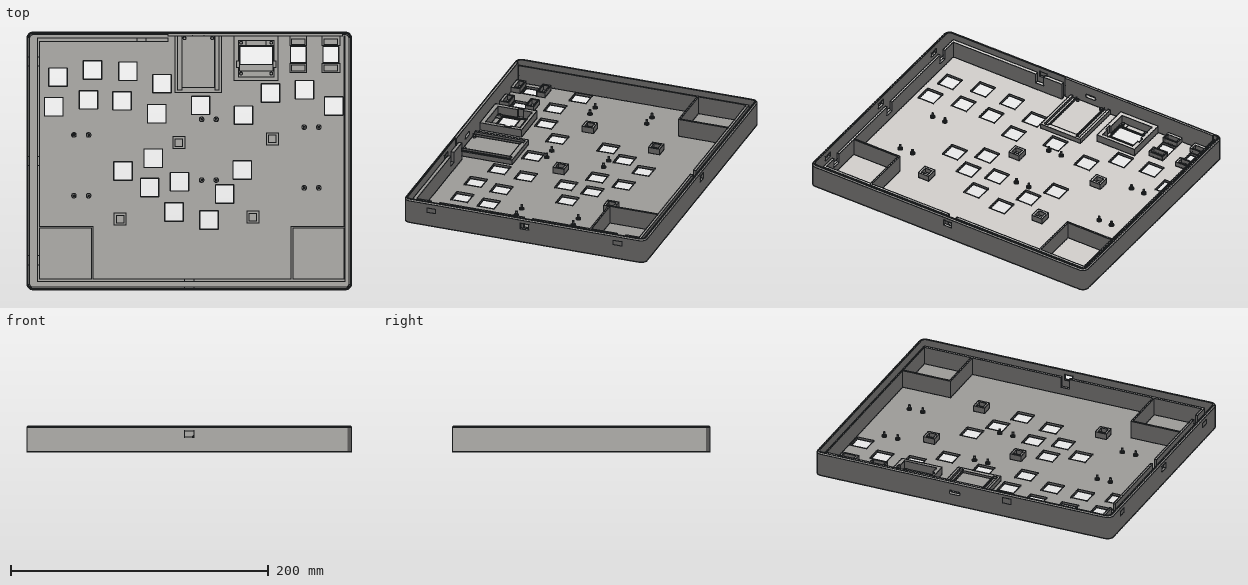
import cadquery as cq
LENGTH = 252.0
WIDTH = 200.0
HEIGHT = 20.0
CORNER_RADIUS = 5.0
FLOOR = 2.0
WALL = 2.0
RIM_CHAMFER = 1.0

STRIP_TOP = 16.6
LEFT_STRIP = (-118.0, -116.2)
RIGHT_STRIP = (120.0, 121.0)
FRONT_STRIP = (-93.7, -91.7)
BACK_STRIP = (92.7, 95.5)
BACK_STRIP_END = -16.6
THICK_WALL = 3.0

SNAP_WIDTH = 7.0
SNAP_BOTTOM = 11.3
SNAP_TOP = 16.1
SNAP_SPACING = 77.0
SNAP_POCKET_TOP = 15.0
SNAP_POCKET_SKIN = 0.5
NOTCH_BOTTOM = 8.0
BACK_NOTCH_X = -37.0

COMPARTMENT_WALL = 1.3
COMPARTMENT_BACK_Y = -51.0
LEFT_COMPARTMENT_X = -74.5
RIGHT_COMPARTMENT_X = 79.1

KEY_SIZE = 14.0
KEY_CENTRES = [
    (-101.8, 65.0), (-75.0, 70.5), (-47.6, 69.5), (-21.2, 60.0),
    (-105.0, 42.0), (-78.0, 47.5), (-52.2, 46.5), (-25.2, 36.5),
    (8.8, 43.0), (42.0, 35.5), (63.0, 52.7), (89.5, 55.2), (112.1, 42.5),
    (-51.5, -7.8), (-28.0, 2.0), (-30.7, -20.7), (-7.5, -16.1), (-11.8, -39.5),
    (15.4, -45.9), (27.5, -25.7), (41.0, -7.0),
]

PIN_BASE_DIAMETER = 3.5
PIN_TIP_DIAMETER = 1.3
PIN_BASE_HEIGHT = 0.8
PIN_TIP_HEIGHT = 3.0
PIN_PAIR_PITCH = 11.3
PIN_ROW_PITCH = 47.0
PIN_PAIRS = [(-89.5, 20.2), (9.5, 32.3), (89.2, 26.2)]

POST_SIZE = 9.3
POST_HOLE = 5.8
POST_HEIGHT = 4.8
POST_HOLE_DEPTH = 3.8
POST_CENTRES = [(-8.0, 14.0), (64.5, 17.1), (-53.7, -45.0), (49.5, -43.5)]

TRAY_X = 7.0
TRAY_WIDTH = 36.3
TRAY_FRONT_Y = 53.2
TRAY_HEIGHT = 4.0
TRAY_FLOOR_HEIGHT = 2.3
TRAY_OUTER_LIP = 2.0
TRAY_TRENCH = 3.3
TRAY_TRENCH_DEPTH = 2.0
TRAY_INNER_WIDTH = 25.2
TRAY_FRONT_LIP = 3.8
TRAY_PIN_DIAMETER = 2.2
TRAY_PIN_HEIGHT = 1.3
TRAY_PIN_PITCH = 21.5
TRAY_PIN_Y = 95.3
PORT_WIDTH = 9.0
PORT_HEIGHT = 3.0
PORT_Z = 10.8
PORT_CORNER = 1.3

FRAME_X = 52.0
FRAME_WIDTH = 34.3
FRAME_FRONT_Y = 62.5
FRAME_HEIGHT = 6.3
BEZEL_WIDTH = 27.5
BEZEL_Y = (65.3, 93.5)
LEDGE_Z = 1.5
RECESS_Z = 0.8
RECESS_WIDTH = 26.0
RECESS_Y = (69.8, 89.5)
DISPLAY_WIDTH = 25.2
DISPLAY_Y = (74.8, 89.0)
CONNECTOR_WIDTH = 15.4
CONNECTOR_DEPTH = 0.38
FRAME_SLOT_Y = (72.5, 77.4)
FRAME_SLOT_DEPTH = 1.5
DISPLAY_PIN_DIAMETER = 2.2
DISPLAY_PIN_HEIGHT = 1.3
DISPLAY_PIN_PITCH_X = 23.5
DISPLAY_PIN_ROWS = (67.8, 91.7)

SEAT_HEIGHT = 4.0
SEAT_OPENING_Y = (76.4, 88.7)
SEAT_LEDGE = 0.8
SEAT_FRONT_Y = 68.8
SEAT_BACK_POCKET_Y = 94.8
SEAT_EDGE = 1.0
SEATS = [(84.7, 12.5, 10.3, 12.0), (109.9, 13.9, 10.3, 12.0)]


def block(x_range, y_range, z_range):
    """Axis-aligned box between pairs of limits."""
    (x0, x1), (y0, y1), (z0, z1) = x_range, y_range, z_range
    return cq.Workplane("XY").box(x1 - x0, y1 - y0, z1 - z0, centered=False).translate((x0, y0, z0))


def around(centre, size):
    """Limits of a span of the given size about its centre."""
    return (centre - size / 2, centre + size / 2)


def peg(x, y, bottom, diameter, height):
    """Upright round pin."""
    return cq.Workplane("XY", origin=(x, y, bottom)).circle(diameter / 2).extrude(height)


HALF_LENGTH = LENGTH / 2
HALF_WIDTH = WIDTH / 2
INNER_X = HALF_LENGTH - WALL
INNER_Y = HALF_WIDTH - WALL
BACK_FACE_Y = HALF_WIDTH - THICK_WALL
WALL_OVERLAP_Y = HALF_WIDTH - WALL / 2
THROUGH_FLOOR = (-FLOOR, 2 * FLOOR)
STRIP_Z = (0, STRIP_TOP)


def make_shell():
    """Open tray with rounded corners and a chamfered rim."""
    outer = cq.Workplane("XY").rect(LENGTH, WIDTH).extrude(HEIGHT).edges("|Z").fillet(CORNER_RADIUS)
    outer = outer.faces(">Z").edges().chamfer(RIM_CHAMFER)
    cavity = (
        cq.Workplane("XY", origin=(0, 0, FLOOR))
        .rect(2 * INNER_X, 2 * INNER_Y)
        .extrude(HEIGHT)
        .edges("|Z")
        .fillet(CORNER_RADIUS - WALL)
    )
    shell = outer.cut(cavity)
    thick_back = block((BACK_STRIP_END, INNER_X - CORNER_RADIUS), (BACK_FACE_Y, INNER_Y),
                       (0, HEIGHT))
    return shell.union(thick_back)


def add_strips(body):
    """Inner strips along the four sides, notched where the snaps pass."""
    strip_y = (FRONT_STRIP[0], BACK_STRIP[1])
    body = body.union(block(LEFT_STRIP, strip_y, STRIP_Z))
    body = body.union(block(RIGHT_STRIP, (FRONT_STRIP[0], BACK_FACE_Y), STRIP_Z))
    body = body.union(block((LEFT_STRIP[0], RIGHT_STRIP[1]), FRONT_STRIP, STRIP_Z))
    body = body.union(block((LEFT_STRIP[0], BACK_STRIP_END), BACK_STRIP, STRIP_Z))
    notch_z = (NOTCH_BOTTOM, HEIGHT)
    for y in (-SNAP_SPACING, 0, SNAP_SPACING):
        body = body.cut(block(LEFT_STRIP, around(y, SNAP_WIDTH), notch_z))
    body = body.cut(block(around(0, SNAP_WIDTH), FRONT_STRIP, notch_z))
    return body.cut(block(around(BACK_NOTCH_X, SNAP_WIDTH), BACK_STRIP, notch_z))


def cut_snaps(body):
    """Snap windows in the left and front walls; blind pockets beside the left one and in the back wall."""
    window_z = (SNAP_BOTTOM, SNAP_TOP)
    left_wall = (-HALF_LENGTH, -INNER_X)
    front_wall = (-HALF_WIDTH, -INNER_Y)
    body = body.cut(block(left_wall, around(0, SNAP_WIDTH), window_z))
    body = body.cut(block(around(0, SNAP_WIDTH), front_wall, window_z))
    pocket_x = (-HALF_LENGTH + SNAP_POCKET_SKIN, -INNER_X)
    pocket_z = (SNAP_BOTTOM, SNAP_POCKET_TOP)
    for y in (-SNAP_SPACING, SNAP_SPACING):
        body = body.cut(block(pocket_x, around(y, SNAP_WIDTH), pocket_z))
    pocket_y = (INNER_Y, HALF_WIDTH - SNAP_POCKET_SKIN)
    return body.cut(block(around(BACK_NOTCH_X, SNAP_WIDTH), pocket_y, window_z))


def add_compartments(body):
    """Walls closing off the two front corners."""
    back_wall = (COMPARTMENT_BACK_Y - COMPARTMENT_WALL, COMPARTMENT_BACK_Y)
    side_y = (FRONT_STRIP[0], COMPARTMENT_BACK_Y)
    left_side = (LEFT_COMPARTMENT_X - COMPARTMENT_WALL, LEFT_COMPARTMENT_X)
    right_side = (RIGHT_COMPARTMENT_X, RIGHT_COMPARTMENT_X + COMPARTMENT_WALL)
    body = body.union(block(left_side, side_y, STRIP_Z))
    body = body.union(block(right_side, side_y, STRIP_Z))
    body = body.union(block((LEFT_STRIP[0], LEFT_COMPARTMENT_X), back_wall, STRIP_Z))
    return body.union(block((RIGHT_COMPARTMENT_X, RIGHT_STRIP[1]), back_wall, STRIP_Z))


def cut_keys(body):
    """Square key openings through the floor."""
    return body.cut(cq.Workplane("XY").pushPoints(KEY_CENTRES).rect(KEY_SIZE, KEY_SIZE).extrude(2 * FLOOR))


def add_pins(body):
    """Stepped locating pins, two rows of two at each place."""
    for x0, y0 in PIN_PAIRS:
        for x in (x0, x0 + PIN_PAIR_PITCH):
            for y in (y0, y0 - PIN_ROW_PITCH):
                body = body.union(peg(x, y, 0, PIN_BASE_DIAMETER, FLOOR + PIN_BASE_HEIGHT))
                body = body.union(peg(x, y, FLOOR, PIN_TIP_DIAMETER, PIN_BASE_HEIGHT + PIN_TIP_HEIGHT))
    return body


def add_posts(body):
    """Square posts with a blind square hole."""
    top = FLOOR + POST_HEIGHT
    for x, y in POST_CENTRES:
        body = body.union(block(around(x, POST_SIZE), around(y, POST_SIZE), (0, top)))
        body = body.cut(block(around(x, POST_HOLE), around(y, POST_HOLE), (top - POST_HOLE_DEPTH, top)))
    return body


def add_tray(body):
    """Controller tray: U-shaped frame with a trench in each side, two pins and a port."""
    top = FLOOR + TRAY_HEIGHT
    tray_floor = FLOOR + TRAY_FLOOR_HEIGHT
    frame = block(around(TRAY_X, TRAY_WIDTH), (TRAY_FRONT_Y, WALL_OVERLAP_Y), (0, top))
    frame = frame.cut(
        block(around(TRAY_X, TRAY_INNER_WIDTH), (TRAY_FRONT_Y + TRAY_FRONT_LIP, HALF_WIDTH), (tray_floor, top))
    )
    trench_offset = (TRAY_WIDTH - TRAY_TRENCH) / 2 - TRAY_OUTER_LIP
    trench_y = (TRAY_FRONT_Y + TRAY_OUTER_LIP, BACK_FACE_Y)
    for x in (TRAY_X - trench_offset, TRAY_X + trench_offset):
        frame = frame.cut(block(around(x, TRAY_TRENCH), trench_y, (top - TRAY_TRENCH_DEPTH, top)))
    body = body.union(frame)
    for x in around(TRAY_X, TRAY_PIN_PITCH):
        body = body.union(peg(x, TRAY_PIN_Y, 0, TRAY_PIN_DIAMETER, tray_floor + TRAY_PIN_HEIGHT))
    port = block(around(TRAY_X, PORT_WIDTH), (BACK_STRIP[1], HALF_WIDTH), around(PORT_Z, PORT_HEIGHT))
    port = port.edges("|Y").fillet(PORT_CORNER)
    return body.cut(port)


def add_display(body):
    """Display frame: raised walls, inner ledge, connector relief, corner pins and opening."""
    top = FLOOR + FRAME_HEIGHT
    frame = block(around(FRAME_X, FRAME_WIDTH), (FRAME_FRONT_Y, WALL_OVERLAP_Y), (0, top))
    body = body.union(frame)
    body = body.cut(block(around(FRAME_X, BEZEL_WIDTH), BEZEL_Y, (LEDGE_Z, top)))
    body = body.cut(block(around(FRAME_X, RECESS_WIDTH), RECESS_Y, (RECESS_Z, top)))
    connector_y = (RECESS_Y[1], BEZEL_Y[1])
    body = body.cut(block(around(FRAME_X, CONNECTOR_WIDTH), connector_y, (LEDGE_Z - CONNECTOR_DEPTH, top)))
    slot_width = BEZEL_WIDTH + 2 * FRAME_SLOT_DEPTH
    body = body.cut(block(around(FRAME_X, slot_width), FRAME_SLOT_Y, (LEDGE_Z, top)))
    for x in around(FRAME_X, DISPLAY_PIN_PITCH_X):
        for y in DISPLAY_PIN_ROWS:
            body = body.union(peg(x, y, 0, DISPLAY_PIN_DIAMETER, LEDGE_Z + DISPLAY_PIN_HEIGHT))
    return body.cut(block(around(FRAME_X, DISPLAY_WIDTH), DISPLAY_Y, THROUGH_FLOOR))


def add_seats(body):
    """Rocker seats: blocks before and behind each opening, each hollowed down to the floor."""
    top = FLOOR + SEAT_HEIGHT
    pocket_z = (FLOOR, top)
    front_y = SEAT_OPENING_Y[0] - SEAT_LEDGE
    back_y = SEAT_OPENING_Y[1] + SEAT_LEDGE
    for x, width, pocket_width, opening_width in SEATS:
        body = body.union(block(around(x, width), (SEAT_FRONT_Y, front_y), (0, top)))
        body = body.union(block(around(x, width), (back_y, WALL_OVERLAP_Y), (0, top)))
        pocket_x = around(x, pocket_width)
        body = body.cut(block(pocket_x, (SEAT_FRONT_Y + SEAT_EDGE, front_y - SEAT_EDGE), pocket_z))
        body = body.cut(block(pocket_x, (back_y + SEAT_EDGE, SEAT_BACK_POCKET_Y), pocket_z))
        body = body.cut(block(around(x, opening_width), SEAT_OPENING_Y, THROUGH_FLOOR))
    return body


result = make_shell()
result = add_strips(result)
result = cut_snaps(result)
result = add_compartments(result)
result = cut_keys(result)
result = add_pins(result)
result = add_posts(result)
result = add_tray(result)
result = add_display(result)
result = add_seats(result)